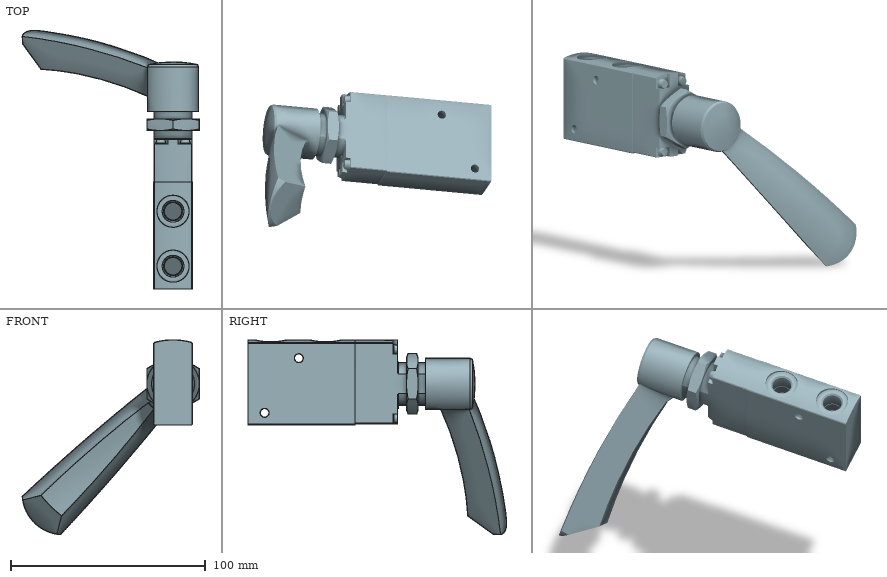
import cadquery as cq
import math


block_width = 20.0
block_half_height = 21.2
crown_rise = 1.5
edge_chamfer = 0.4
block_length = 55.2
port_positions = (11.8, 40.1)
port_mouth_diameter = 11.2
port_thread_diameter = 9.7
port_thread_depth = 8.0
port_drill_diameter = 9.0
port_depth = 13.3
spot_face_diameter = 16.5
spot_face_depth = 1.6
mount_hole_diameter = 4.4
mount_hole_positions = ((8.7, -14.9), (26.2, 13.2))

bonnet_width = 19.7
bonnet_bottom = -20.6
bonnet_end = 77.1
notch_depth = 2.5
notch_gap = 5.3
notch_inner_height = 15.5
screw_offset_x = 6.3
screw_offset_z = 17.7
screw_head_base_diameter = 5.0
screw_flange_diameter = 5.3
screw_flange_height = 0.7
screw_head_taper = 15
neck_diameter = 22.1
collar_diameter = 22.6
collar_height = 0.4
stop_pin_diameter = 3.0

nut_across_flats = 27.0
nut_start = 81.6
nut_thickness = 6.0
nut_chamfer_height = 0.8
nut_chamfer_inset = 2.1
nut_bore_diameter = neck_diameter

hub_diameter = 26.4
hub_start = 91.3
hub_chamfer_start = 114.4
hub_rim_diameter = 25.0
hub_rim_height = 115.5
hub_top = 116.9

lever_top = 133.1
lever_angle = 135
outline_margin = 1.3
arm_start = 8.0
arm_tip = 100.9
tip_plan_radius = 21.4
ridge_radius = 386.0
ridge_center_distance = 132.5
crown_radius = 37.3
barrel_margin = 2.7
groove_radius = 239.1
groove_center = (98.8, -125.1)
groove_section_radius = 42.6
underside_foot = (12.0, 95.6)
underside_start = (16.0, 98.8)
underside_end = (88.5, 113.0)
tip_edge_height = 132.3
side_reference_height = 130.2
side_reference_half_width = 14.0
side_slope = 0.38


def crowned_bar(width, bottom, start, end):
    """Bar along Y whose top is a shallow arc rising from the block's side edges."""
    half_width = width / 2
    return (
        cq.Workplane("XZ", origin=(0, start, 0))
        .moveTo(-half_width, bottom)
        .lineTo(half_width, bottom)
        .lineTo(half_width, block_half_height)
        .threePointArc((0, block_half_height + crown_rise), (-half_width, block_half_height))
        .close()
        .extrude(start - end)
        .edges("|Y")
        .chamfer(edge_chamfer)
    )


def disc(diameter, start, end, x=0, z=0):
    """Round bar parallel to Y."""
    return cq.Workplane("XZ", origin=(x, start, z)).circle(diameter / 2).extrude(start - end)


def port_cutter(y):
    """Spot face, chamfered mouth, thread and narrower blind hole of one port, opening upward."""
    top = block_half_height + crown_rise
    floor = top - spot_face_depth
    mouth_depth = (port_mouth_diameter - port_thread_diameter) / 2
    return (
        cq.Workplane("XZ", origin=(0, y, 0))
        .moveTo(0, top)
        .lineTo(spot_face_diameter / 2, top)
        .lineTo(spot_face_diameter / 2, floor)
        .lineTo(port_mouth_diameter / 2, floor)
        .lineTo(port_thread_diameter / 2, floor - mouth_depth)
        .lineTo(port_thread_diameter / 2, floor - port_thread_depth)
        .lineTo(port_drill_diameter / 2, floor - port_thread_depth)
        .lineTo(port_drill_diameter / 2, floor - port_depth)
        .lineTo(0, floor - port_depth)
        .close()
        .revolve(360, (0, 0, 0), (0, 1, 0))
    )


def make_block():
    block = crowned_bar(block_width, -block_half_height, 0, block_length)
    for y in port_positions:
        block = block.cut(port_cutter(y))
    mount_holes = (
        cq.Workplane("YZ")
        .pushPoints(mount_hole_positions)
        .circle(mount_hole_diameter / 2)
        .extrude(block_width / 2, both=True)
    )
    return block.cut(mount_holes)


def make_neck():
    """Threaded neck with two flats flush with the bonnet sides."""
    neck = disc(neck_diameter, bonnet_end, hub_start)
    neck = neck.union(disc(collar_diameter, bonnet_end, bonnet_end + collar_height))
    flats = cq.Workplane("XY").box(bonnet_width, 2 * hub_start, collar_diameter)
    return neck.intersect(flats)


def screw_head(x, z, start):
    """Tapered screw head, narrower toward the end of the bonnet."""
    return (
        cq.Workplane("XZ", origin=(x, start, z))
        .circle(screw_head_base_diameter / 2)
        .extrude(start - bonnet_end, taper=screw_head_taper)
    )


def corner_notch(side_x, side_z):
    """Block that clears one corner of the bonnet end for a screw head."""
    size = block_width
    center_x = side_x * (notch_gap + size) / 2
    center_z = side_z * (notch_inner_height + size / 2)
    return cq.Workplane("XY").box(size, 2 * notch_depth, size).translate((center_x, bonnet_end, center_z))


def make_bonnet():
    bonnet = crowned_bar(bonnet_width, bonnet_bottom, block_length, bonnet_end)
    notch_floor = bonnet_end - notch_depth
    flange_top = notch_floor + screw_flange_height
    for side_x in (-1, 1):
        for side_z in (-1, 1):
            notch = corner_notch(side_x, side_z)
            x = side_x * screw_offset_x
            z = side_z * screw_offset_z
            bonnet = bonnet.cut(notch)
            bonnet = bonnet.union(disc(screw_flange_diameter, notch_floor, flange_top, x, z))
            bonnet = bonnet.union(screw_head(x, z, flange_top))
    stop_pin = disc(stop_pin_diameter, bonnet_end, bonnet_end + collar_height, 0, -neck_diameter / 2)
    return bonnet.union(make_neck()).union(stop_pin)


def make_nut():
    """Hexagon with two corners on the Z axis, chamfered on both faces."""
    corner_radius = nut_across_flats / 2 / math.cos(math.radians(30))
    nut_end = nut_start + nut_thickness
    face_radius = corner_radius - nut_chamfer_inset
    hexagon = (
        cq.Workplane("XZ", origin=(0, nut_start, 0))
        .polygon(6, 2 * corner_radius)
        .extrude(-nut_thickness)
        .rotate((0, 0, 0), (0, 1, 0), 30)
    )
    chamfer_envelope = (
        cq.Workplane("XY")
        .moveTo(0, nut_start)
        .lineTo(face_radius, nut_start)
        .lineTo(corner_radius, nut_start + nut_chamfer_height)
        .lineTo(corner_radius, nut_end - nut_chamfer_height)
        .lineTo(face_radius, nut_end)
        .lineTo(0, nut_end)
        .close()
        .revolve(360, (0, 0, 0), (0, 1, 0))
    )
    bore = disc(nut_bore_diameter, nut_start, nut_end)
    return hexagon.intersect(chamfer_envelope).cut(bore)


def make_hub():
    """Round hub with a chamfered rim and a slightly domed end."""
    rim_radius = hub_rim_diameter / 2
    dome_rise = hub_top - hub_rim_height
    dome_radius = (rim_radius**2 + dome_rise**2) / (2 * dome_rise)
    middle_radius = rim_radius / 2
    middle_height = hub_top - dome_radius + math.sqrt(dome_radius**2 - middle_radius**2)
    return (
        cq.Workplane("XY")
        .moveTo(0, hub_start)
        .lineTo(hub_diameter / 2, hub_start)
        .lineTo(hub_diameter / 2, hub_chamfer_start)
        .lineTo(rim_radius, hub_rim_height)
        .threePointArc((middle_radius, middle_height), (0, hub_top))
        .close()
        .revolve(360, (0, 0, 0), (0, 1, 0))
    )


def side_half_width(y):
    """Half width of the arm at height y: the side faces lean together toward the underside."""
    return side_reference_half_width - side_slope * (side_reference_height - y)


def barrel(center, radius, section_radius):
    """Barrel across the arm: the given radius along the arm and section_radius across it."""
    half_width = side_reference_half_width + barrel_margin
    edge_radius = radius - section_radius + math.sqrt(section_radius**2 - half_width**2)
    return (
        cq.Workplane("ZY", origin=(*center, 0))
        .moveTo(-half_width, 0)
        .lineTo(half_width, 0)
        .lineTo(half_width, edge_radius)
        .threePointArc((0, radius), (-half_width, edge_radius))
        .close()
        .revolve(360, (0, 0, 0), (1, 0, 0))
    )


def arm_side_outline(above):
    """Foot at the hub, straight lower bound below the curved underside, and slanted tip."""
    tip_slope = (arm_tip - underside_end[0]) / (tip_edge_height - underside_end[1])
    tip_above = underside_end[0] + tip_slope * (above - underside_end[1])
    tip_below = underside_end[0] + tip_slope * (underside_start[1] - underside_end[1])
    return (
        cq.Workplane("XY")
        .moveTo(arm_start, underside_foot[1])
        .lineTo(*underside_foot)
        .lineTo(*underside_start)
        .lineTo(tip_below, underside_start[1])
        .lineTo(tip_above, above)
        .lineTo(arm_start, above)
        .close()
        .extrude(side_half_width(above), both=True)
    )


def arm_cross_section(above):
    """Prism along the arm with its two side faces leaning together toward the underside."""
    foot = underside_foot[1]
    return (
        cq.Workplane("ZY")
        .polyline([
            (-side_half_width(foot), foot),
            (side_half_width(foot), foot),
            (side_half_width(above), above),
            (-side_half_width(above), above),
        ])
        .close()
        .extrude(-2 * arm_tip)
    )


def arm_plan(above):
    """Plan of the arm with its rounded tip."""
    tip_center = arm_tip - tip_plan_radius
    shank = cq.Workplane("XY").box(
        tip_center, above, 4 * side_half_width(above), centered=(False, False, True)
    )
    return disc(2 * tip_plan_radius, 0, above, tip_center).union(shank)


def underside_cutter():
    """Barrel that hollows the underside slightly, from the foot to the tip."""
    beyond_foot = cq.Workplane("XY", origin=(underside_start[0], 0, 0)).box(
        2 * arm_tip, lever_top, 4 * side_reference_half_width, centered=(False, False, True)
    )
    return barrel(groove_center, groove_radius, groove_section_radius).intersect(beyond_foot)


def make_arm():
    """Arm built along +X and then swung round the hub axis to its place."""
    above = lever_top + outline_margin
    ridge_center_y = lever_top - math.sqrt(ridge_radius**2 - (ridge_center_distance - arm_tip) ** 2)
    crown = barrel((ridge_center_distance, ridge_center_y), ridge_radius, crown_radius)
    arm = arm_side_outline(above).intersect(arm_cross_section(above))
    arm = arm.intersect(arm_plan(above)).intersect(crown).cut(underside_cutter())
    return arm.rotate((0, 0, 0), (0, 1, 0), lever_angle)


def make_lever():
    return make_hub().union(make_arm())


block = make_block()
bonnet = make_bonnet()
nut = make_nut()
lever = make_lever()

result = cq.Compound.makeCompound([block.val(), bonnet.val(), nut.val(), lever.val()])